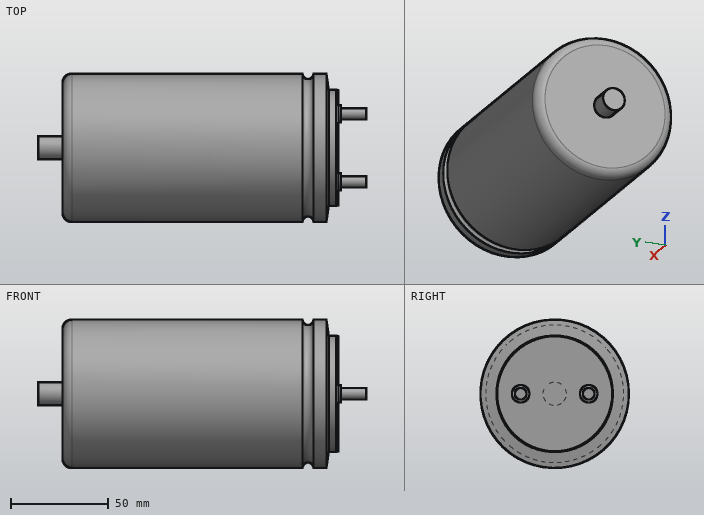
import cadquery as cq


can_diameter = 76.5
can_end_radius = 5.0
can_length = 135.9

groove_radius = 2.8
rim_width = 6.7
groove_center = can_length - rim_width - groove_radius

shoulder_height = 1.2
lid_diameter = 60.0
lid_face = 142.0
lid_bevel_length = 1.2
lid_bevel_depth = 0.4

stud_diameter = 12.0
stud_length = 12.5

terminal_spacing = 35.0
collar_diameter = 9.0
collar_height = 1.5
pin_diameter = 6.0
overall_length = 169.0
pin_length = overall_length - stud_length - lid_face - collar_height


def can_with_lid():
    """Revolve the half profile of the can, groove, shoulder and lid about X."""
    can_radius = can_diameter / 2
    lid_radius = lid_diameter / 2
    profile = (
        cq.Workplane("XY")
        .lineTo(0, can_radius)
        .lineTo(groove_center - groove_radius, can_radius)
        .threePointArc(
            (groove_center, can_radius - groove_radius),
            (groove_center + groove_radius, can_radius),
        )
        .lineTo(can_length, can_radius)
        .lineTo(can_length + shoulder_height, lid_radius)
        .lineTo(lid_face - lid_bevel_length, lid_radius)
        .lineTo(lid_face, lid_radius - lid_bevel_depth)
        .lineTo(lid_face, 0)
        .close()
    )
    body = profile.revolve(360, (0, 0, 0), (1, 0, 0))
    return body.faces("<X").edges().fillet(can_end_radius)


def rod(start, length, diameter, y=0):
    """Solid cylinder parallel to X, starting at X = start."""
    return cq.Workplane("YZ", origin=(start, y, 0)).circle(diameter / 2).extrude(length)


def terminal(y):
    """Collar on the lid with the pin standing on it."""
    collar = rod(lid_face, collar_height, collar_diameter, y)
    pin = rod(lid_face + collar_height, pin_length, pin_diameter, y)
    return collar.union(pin)


result = can_with_lid().union(rod(-stud_length, stud_length, stud_diameter))
for side in (-1, 1):
    result = result.union(terminal(side * terminal_spacing / 2))